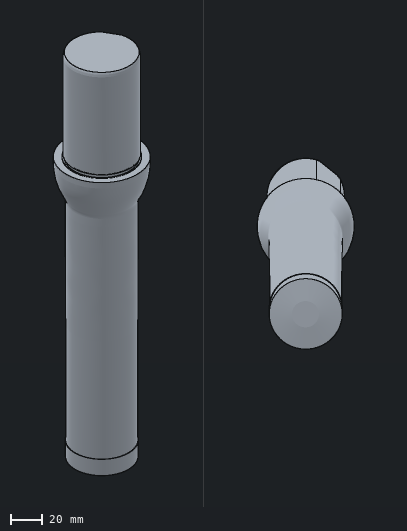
import cadquery as cq
import math

total_length = 311.0
rim_z = 1.2
rim_chamfer_top_z = 2.2
head_top_z = 14.0
taper_bottom_z = 104.0
taper_top_z = 192.0
collar_top_z = 197.5
flange_band_z = 226.5
flange_top_z = 231.0
neck_top_z = 233.0

head_radius = 47.3 / 2
rim_radius = 47.0 / 2
tip_flat_radius = 8.7
body_radius = 46.5 / 2
collar_radius = head_radius
flange_radius = 62.5 / 2
shank_radius = 50.0 / 2
neck_radius = 48.5 / 2
relief_radius = 51.3 / 2

flange_curve_radius = 48.0
flange_fillet_radius = 8.0

lead_in_radius = 49.5 / 2
shank_end_radius = 48.2 / 2
lead_in_bottom_z = 307.5
lead_in_top_z = 309.5
relief_depth = 0.5
flat_offset = 23.0
flat_bottom_z = 235.7


def make_cutting_head():
    """Short cylindrical head with a shallow conical point, blunted flat."""
    profile = [
        (0, 0),
        (tip_flat_radius, 0),
        (rim_radius, rim_z),
        (head_radius, rim_chamfer_top_z),
        (head_radius, head_top_z),
        (0, head_top_z),
    ]
    return cq.Workplane("XZ").polyline(profile).close().revolve(360, (0, 0), (0, 1))


def make_holder():
    """Revolved drill body, flange and shank, with one clamping flat."""
    curve_center_r = flange_radius - flange_curve_radius
    fillet_center_r = collar_radius + flange_fillet_radius
    center_distance = flange_curve_radius + flange_fillet_radius
    angle = math.acos((fillet_center_r - curve_center_r) / center_distance)
    fillet_center_z = flange_band_z - center_distance * math.sin(angle)

    def on_curve(a):
        r = curve_center_r + flange_curve_radius * math.cos(a)
        return (r, flange_band_z - flange_curve_radius * math.sin(a))

    def on_fillet(a):
        r = fillet_center_r - flange_fillet_radius * math.cos(a)
        return (r, fillet_center_z + flange_fillet_radius * math.sin(a))

    relief_z = flange_top_z - relief_depth
    body = (
        cq.Workplane("XZ")
        .moveTo(0, head_top_z)
        .lineTo(body_radius, head_top_z)
        .lineTo(body_radius, taper_bottom_z)
        .lineTo(collar_radius, taper_top_z)
        .lineTo(collar_radius, collar_top_z)
        .lineTo(*on_fillet(0))
        .threePointArc(on_fillet(angle / 2), on_fillet(angle))
        .threePointArc(on_curve(angle / 2), on_curve(0))
        .lineTo(flange_radius, flange_top_z)
        .lineTo(relief_radius, flange_top_z)
        .lineTo(relief_radius, relief_z)
        .lineTo(neck_radius, relief_z)
        .lineTo(neck_radius, neck_top_z)
        .lineTo(shank_radius, neck_top_z)
        .lineTo(shank_radius, lead_in_bottom_z)
        .lineTo(lead_in_radius, lead_in_top_z)
        .lineTo(shank_end_radius, total_length)
        .lineTo(0, total_length)
        .close()
        .revolve(360, (0, 0), (0, 1))
    )
    return body.cut(make_flat_cutter())


def make_flat_cutter():
    """Block that removes the +Y side of the shank above the step."""
    return (
        cq.Workplane("XY", origin=(0, flat_offset, flat_bottom_z))
        .box(
            2 * shank_radius,
            shank_radius,
            total_length - flat_bottom_z,
            centered=(True, False, False),
        )
    )


cutting_head = make_cutting_head()
holder = make_holder()
result = cq.Compound.makeCompound([cutting_head.val(), holder.val()])